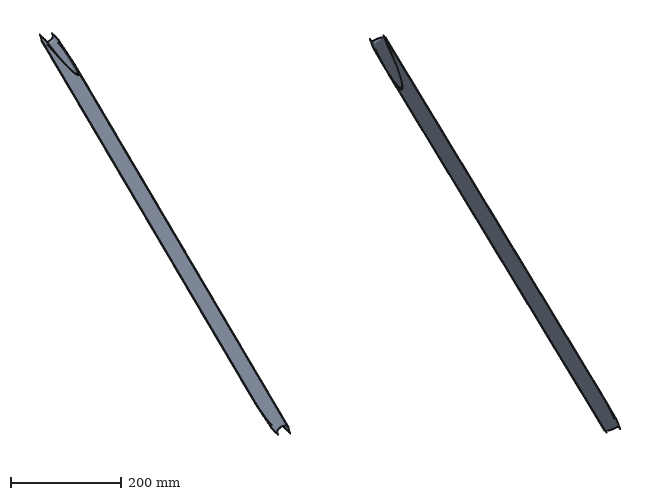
import cadquery as cq

tube_radius = 15.0
wall = 1.1
run_x = 100
fall_y = 21.4
fall_z = 23.4
blank_length = 1027

cope_clearance = 0.3
cope_radius = tube_radius - cope_clearance
cope_fall_y = 8
cope_rise_z = 4
cope_reach = 436.0
cope_length = 536
trim_height = 107
trim_width = 2 * trim_height

tube_axis = cq.Vector(run_x, -fall_y, -fall_z).normalized()
cope_axis = cq.Vector(run_x, -cope_fall_y, cope_rise_z).normalized()
sideways = tube_axis.cross(cope_axis).normalized()


def make_tube():
    start = tube_axis * (-blank_length / 2)
    plane = cq.Plane(origin=start, xDir=sideways, normal=tube_axis)
    return cq.Workplane(plane).circle(tube_radius).circle(tube_radius - wall).extrude(blank_length)


def make_cope(side):
    """Round-bottomed cutter for the -X (side -1) or +X (side 1) end."""
    crossing = tube_axis * (side * cope_reach / tube_axis.x)
    start = crossing - cope_axis * (cope_length / 2)
    plane = cq.Plane(origin=start, xDir=sideways * side, normal=cope_axis)
    pipe = cq.Workplane(plane).circle(cope_radius).extrude(cope_length)
    beyond = (
        cq.Workplane(plane)
        .center(0, trim_height / 2)
        .rect(trim_width, trim_height)
        .extrude(cope_length)
    )
    return pipe.union(beyond)


result = make_tube()
for side in (-1, 1):
    result = result.cut(make_cope(side))